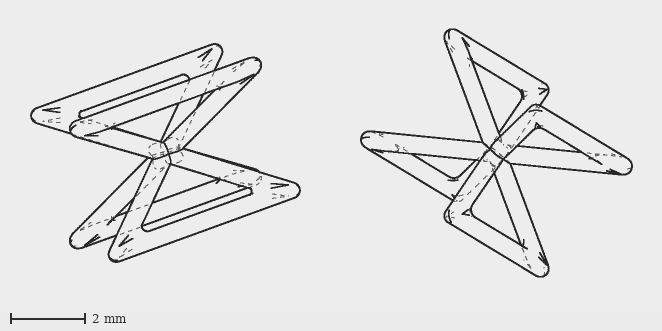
import cadquery as cq
import math

OVERALL_WIDTH = 5.5
OVERALL_LENGTH = 5.63
ROD_DIAMETER = 0.5
FRAME_COUNT = 4
CORNER_ANGLE = 45.0

ROD_RADIUS = ROD_DIAMETER / 2
FRAME_ANGLE = 360 / FRAME_COUNT
REACH = (OVERALL_WIDTH - ROD_DIAMETER) / 2
HALF_CORNER = math.radians(CORNER_ANGLE / 2)
MITRE_SLOPE = 1 / math.tan(HALF_CORNER)

SHARP_TIP = REACH + ROD_RADIUS * MITRE_SLOPE
CORNER_RADIUS = (SHARP_TIP - OVERALL_LENGTH / 2) / (MITRE_SLOPE - 1)

BALL_PATH_HEIGHT = ROD_RADIUS - CORNER_RADIUS
BALL_PATH_DEPTH = BALL_PATH_HEIGHT / math.sin(HALF_CORNER)
WEDGE_MARGIN = 4

OUTWARD = (math.sin(HALF_CORNER), math.cos(HALF_CORNER), 0)
ACROSS = (math.cos(HALF_CORNER), -math.sin(HALF_CORNER), 0)
MITRE_PLANE = cq.Plane(origin=(REACH, REACH, 0), xDir=OUTWARD, normal=ACROSS)
CORNER_PLANE = cq.Plane(origin=(REACH, REACH, 0), xDir=OUTWARD, normal=(0, 0, 1))


def rod_triangle():
    """Mitred round rod bent into a triangle, with its apex on the Y axis."""
    path = (
        cq.Workplane("XY")
        .moveTo(REACH, 0)
        .lineTo(REACH, REACH)
        .lineTo(0, 0)
        .lineTo(REACH, -REACH)
        .close()
    )
    section = cq.Workplane("XZ", origin=(REACH, 0, 0)).circle(ROD_RADIUS)
    return section.sweep(path, transition="right").clean()


def quarter_rods():
    """Quarter of the triangle (+Y, +Z) with its inner corner filleted."""
    quarter_space = cq.Workplane("XY").box(
        OVERALL_WIDTH, OVERALL_WIDTH, ROD_DIAMETER, centered=(True, False, False)
    )
    quarter = rod_triangle().intersect(quarter_space)
    inner_mitre = cq.selectors.BoxSelector((0, REACH / 2, 0), (REACH, REACH, ROD_RADIUS))
    return quarter.edges(inner_mitre).edges("%ELLIPSE").fillet(CORNER_RADIUS)


def tip_wedge():
    """Wedge outside the lines where the rounded tip meets the two rods."""
    contact_out = BALL_PATH_DEPTH + CORNER_RADIUS * math.sin(HALF_CORNER)
    contact_across = CORNER_RADIUS * math.cos(HALF_CORNER)
    out = WEDGE_MARGIN * contact_out
    across = WEDGE_MARGIN * contact_across
    return (
        cq.Workplane(CORNER_PLANE)
        .polyline([(0, 0), (out, across), (out, -across)])
        .close()
        .extrude(ROD_DIAMETER)
    )


def ball_path():
    """Quarter ellipse from the outermost point of the mitre to its top."""
    return (
        cq.Workplane(MITRE_PLANE)
        .moveTo(BALL_PATH_DEPTH, 0)
        .ellipseArc(BALL_PATH_DEPTH, BALL_PATH_HEIGHT, 0, 90, startAtCurrent=True)
    )


def rounded_tip():
    """Outer corner rounded by a ball rolled around the mitre, upper half only."""
    half_disc = (
        cq.Workplane(CORNER_PLANE)
        .moveTo(BALL_PATH_DEPTH, -CORNER_RADIUS)
        .threePointArc((BALL_PATH_DEPTH + CORNER_RADIUS, 0), (BALL_PATH_DEPTH, CORNER_RADIUS))
        .close()
    )
    skin = half_disc.sweep(ball_path())
    core = ball_path().lineTo(0, 0).close().extrude(CORNER_RADIUS, both=True)
    return skin.union(core).intersect(tip_wedge())


def apex_wedge():
    """Quarter-space wedge along +X that keeps the four apexes from overlapping."""
    return (
        cq.Workplane("XZ")
        .polyline([(0, 0), (OVERALL_WIDTH, OVERALL_WIDTH), (OVERALL_WIDTH, -OVERALL_WIDTH)])
        .close()
        .extrude(OVERALL_LENGTH, both=True)
    )


def triangular_frame():
    """Complete frame on the +X side, mirrored up from its quarter."""
    quarter = quarter_rods().cut(tip_wedge()).union(rounded_tip()).intersect(apex_wedge())
    half = quarter.union(quarter.mirror("XY"))
    return half.union(half.mirror("XZ")).solids()


frame = triangular_frame()
frames = [
    frame.rotate((0, 0, 0), (0, 1, 0), index * FRAME_ANGLE).val()
    for index in range(FRAME_COUNT)
]

result = cq.Compound.makeCompound(frames)